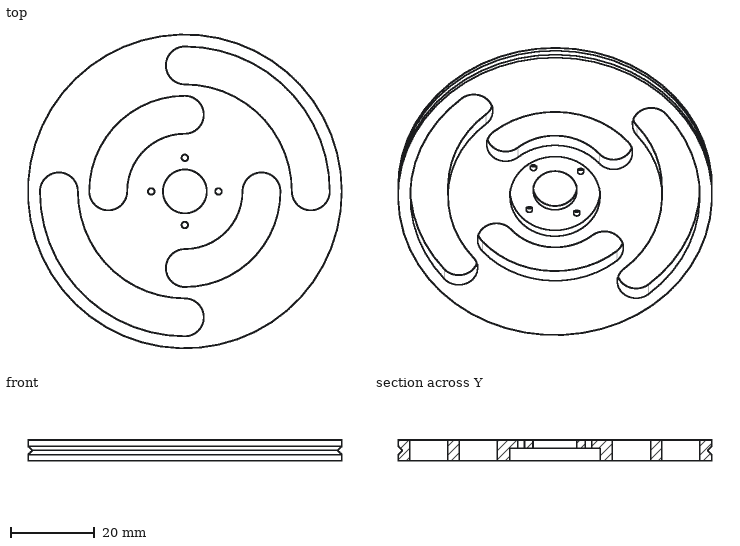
import cadquery as cq

disc_diameter = 75.0
thickness = 5.0
disc_radius = disc_diameter / 2

groove_width = 2.0
groove_depth = groove_width / 2

bore_diameter = 10.4
recess_diameter = 21.5
recess_depth = 3.0
mount_hole_diameter = 1.5
mount_circle_radius = 8.0
mount_hole_count = 4

slot_width = 9.0
inner_slot_radius = 18.3
outer_slot_radius = 30.1
slot_sweep = 90.0
inner_slot_starts = (90.0, 270.0)
outer_slot_starts = (0.0, 180.0)


def cylinder(diameter, radius, angle):
    """Full-thickness cylinder centred at a polar position."""
    return (
        cq.Workplane("XY")
        .circle(diameter / 2)
        .extrude(thickness)
        .translate((radius, 0, 0))
        .rotate((0, 0, 0), (0, 0, 1), angle)
    )


def curved_slot(radius, start_angle):
    """Cutter for a slot whose centreline sweeps counter-clockwise from start_angle."""
    band = (
        cq.Workplane("XZ")
        .center(radius, thickness / 2)
        .rect(slot_width, thickness)
        .revolve(slot_sweep, (-radius, 0, 0), (-radius, -1, 0))
        .rotate((0, 0, 0), (0, 0, 1), start_angle + slot_sweep)
    )
    for end_angle in (start_angle, start_angle + slot_sweep):
        band = band.union(cylinder(slot_width, radius, end_angle))
    return band


def grooved_disc():
    """Disc revolved from a half section with the V-groove in its rim."""
    middle = thickness / 2
    return (
        cq.Workplane("XZ")
        .moveTo(0, 0)
        .lineTo(disc_radius, 0)
        .lineTo(disc_radius, middle - groove_width / 2)
        .lineTo(disc_radius - groove_depth, middle)
        .lineTo(disc_radius, middle + groove_width / 2)
        .lineTo(disc_radius, thickness)
        .lineTo(0, thickness)
        .close()
        .revolve(360, (0, 0, 0), (0, 1, 0))
    )


result = grooved_disc().cut(cylinder(bore_diameter, 0, 0))

underside_recess = cq.Workplane("XY").circle(recess_diameter / 2).extrude(recess_depth)
result = result.cut(underside_recess)

for index in range(mount_hole_count):
    hole_angle = index * 360 / mount_hole_count
    result = result.cut(cylinder(mount_hole_diameter, mount_circle_radius, hole_angle))

for start in inner_slot_starts:
    result = result.cut(curved_slot(inner_slot_radius, start))

for start in outer_slot_starts:
    result = result.cut(curved_slot(outer_slot_radius, start))